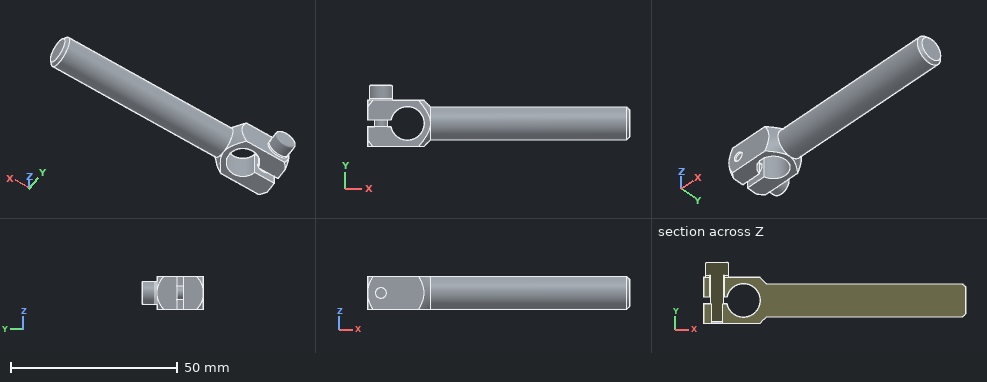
import cadquery as cq

total_length = 79.0
rod_diameter = 10.0
rod_radius = rod_diameter / 2
end_chamfer = 1.0

head_length = 18.95
head_width = 14.0
head_thickness = rod_diameter
half_width = head_width / 2

bore_diameter = 10.0
bore_x = 12.0
slot_width = 2.0

screw_x = 4.0
screw_diameter = 4.0
clearance_diameter = 4.3
tip_diameter = 3.2
tip_recess = 0.55
cap_diameter = 7.0
cap_edge_radius = 0.5
total_width = 18.5
washer_thickness = 0.55
cap_height = total_width - head_width - washer_thickness


def cylinder_y(diameter, y_start, y_end):
    """Cylinder on the screw axis between two Y positions."""
    return (
        cq.Workplane("XZ", origin=(screw_x, y_start, 0))
        .circle(diameter / 2)
        .extrude(y_start - y_end)
    )


def make_turned_envelope():
    """Rod and head as turned on the X axis, with 45 degree cones on both ends of the head."""
    blank_radius = half_width + rod_radius
    front_cone_length = blank_radius - half_width
    rear_cone_length = blank_radius - rod_radius
    return (
        cq.Workplane("XY")
        .moveTo(0, 0)
        .lineTo(0, half_width)
        .lineTo(front_cone_length, blank_radius)
        .lineTo(head_length - rear_cone_length, blank_radius)
        .lineTo(head_length, rod_radius)
        .lineTo(total_length - end_chamfer, rod_radius)
        .lineTo(total_length, rod_radius - end_chamfer)
        .lineTo(total_length, 0)
        .close()
        .revolve(360, (0, 0, 0), (1, 0, 0))
    )


def make_clamp():
    """Rod with a slotted clamp head, drilled for the screw."""
    flats = cq.Workplane("XY").box(
        total_length, head_width, head_thickness, centered=(False, True, True)
    )
    bore = (
        cq.Workplane("XY", origin=(bore_x, 0, -head_thickness / 2))
        .circle(bore_diameter / 2)
        .extrude(head_thickness)
    )
    slot = cq.Workplane("XY").box(
        bore_x, slot_width, head_thickness, centered=(False, True, True)
    )
    clearance_hole = cylinder_y(clearance_diameter, 0, half_width)
    tip_hole = cylinder_y(tip_diameter, -half_width, 0)
    body = make_turned_envelope().intersect(flats)
    return body.cut(bore).cut(slot).cut(clearance_hole).cut(tip_hole)


def make_washer():
    """Plain washer between the upper jaw and the screw cap."""
    washer_top = half_width + washer_thickness
    ring = cylinder_y(cap_diameter, half_width, washer_top)
    return ring.cut(cylinder_y(clearance_diameter, half_width, washer_top))


def make_screw():
    """Cap screw whose narrower tip fills the lower jaw's hole."""
    cap_bottom = half_width + washer_thickness
    cap = cylinder_y(cap_diameter, cap_bottom, cap_bottom + cap_height)
    cap = cap.faces(">Y").edges().fillet(cap_edge_radius)
    shank = cylinder_y(screw_diameter, -slot_width / 2, cap_bottom)
    tip = cylinder_y(tip_diameter, -half_width + tip_recess, -slot_width / 2)
    return cap.union(shank).union(tip)


clamp = make_clamp()
washer = make_washer()
screw = make_screw()

result = cq.Compound.makeCompound([clamp.val(), washer.val(), screw.val()])